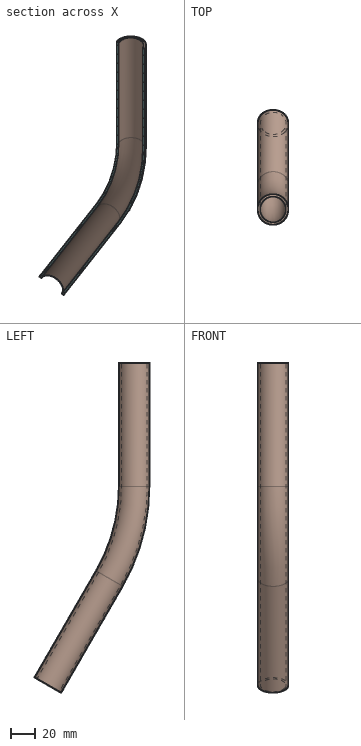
import cadquery as cq
import math

outer_diameter = 25.4
bore_diameter = 21.18
leg_length = 101.6
bend_radius = 152.4
bend_angle = 30.0


def bend_point(angle):
    """Point (y, z) on the bend axis, at an angle in degrees from the upper leg."""
    turn = math.radians(angle)
    return bend_radius * (1 - math.cos(turn)), -bend_radius * math.sin(turn)


def tube_axis():
    """Centreline in the YZ plane, from the top end to the lower end."""
    bend_end_y, bend_end_z = bend_point(bend_angle)
    lean = math.radians(bend_angle)
    lower_end = (
        bend_end_y + leg_length * math.sin(lean),
        bend_end_z - leg_length * math.cos(lean),
    )
    return (
        cq.Workplane("YZ")
        .moveTo(0, leg_length)
        .lineTo(0, 0)
        .threePointArc(bend_point(bend_angle / 2), (bend_end_y, bend_end_z))
        .lineTo(*lower_end)
    )


result = (
    cq.Workplane("XY", origin=(0, 0, leg_length))
    .circle(outer_diameter / 2)
    .circle(bore_diameter / 2)
    .sweep(tube_axis())
)